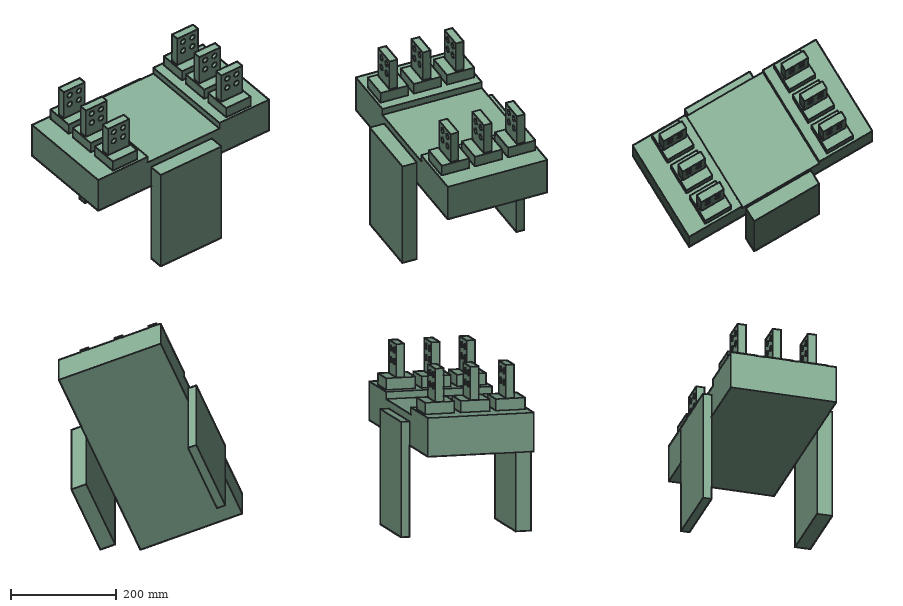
import cadquery as cq

body_width = 209.5
body_length = 406.0
body_height = 75.0
recess_length = 171.0
recess_depth = 14.0

plate_length = 144.0
plate_height = 223.0
plate_drop = 176.5
plate_offset_y = -5.3
left_plate_thickness = 17.0
right_plate_thickness = 30.5

terminals_per_row = 3
terminal_pitch = 70.0
terminal_row_spacing = 269.5
base_side = 57.5
base_height = 22.5
blade_thickness = 16.5
blade_width = 50.0
blade_height = 64.0

hole_diameter = 11.0
hole_pitch = 22.0
top_hole_depth = 14.0

body_top = body_height
base_top = body_top + base_height
blade_top = base_top + blade_height


def standing_box(size_x, size_y, size_z, centre_x, centre_y, bottom_z):
    """Box centred in X and Y that stands on the level bottom_z."""
    box = cq.Workplane("XY").box(size_x, size_y, size_z, centered=(True, True, False))
    return box.translate((centre_x, centre_y, bottom_z))


def make_body():
    block = standing_box(body_width, body_length, body_height, 0, 0, 0)
    recess_floor = body_top - recess_depth
    recess = standing_box(body_width, recess_length, recess_depth, 0, 0, recess_floor)
    return block.cut(recess)


def make_side_plate(thickness, side):
    """Plate against the body's -X face (side = -1) or +X face (side = 1)."""
    centre_x = side * (body_width + thickness) / 2
    return standing_box(thickness, plate_length, plate_height, centre_x, plate_offset_y, -plate_drop)


def make_terminal():
    """Terminal on the body's top level, centred on X = 0 and Y = 0."""
    base = standing_box(base_side, base_side, base_height, 0, 0, body_top)
    blade = standing_box(blade_thickness, blade_width, blade_height, 0, 0, base_top)
    hole_pattern_z = blade_top - top_hole_depth - hole_pitch / 2
    holes = (
        cq.Workplane("YZ", origin=(0, 0, hole_pattern_z))
        .rarray(hole_pitch, hole_pitch, 2, 2)
        .circle(hole_diameter / 2)
        .extrude(blade_thickness, both=True)
    )
    return base.union(blade.cut(holes))


result = make_body()
result = result.union(make_side_plate(left_plate_thickness, -1))
result = result.union(make_side_plate(right_plate_thickness, 1))

terminal = make_terminal()
for row_side in (-1, 1):
    for index in range(terminals_per_row):
        terminal_x = (index - (terminals_per_row - 1) / 2) * terminal_pitch
        terminal_y = row_side * terminal_row_spacing / 2
        result = result.union(terminal.translate((terminal_x, terminal_y, 0)))